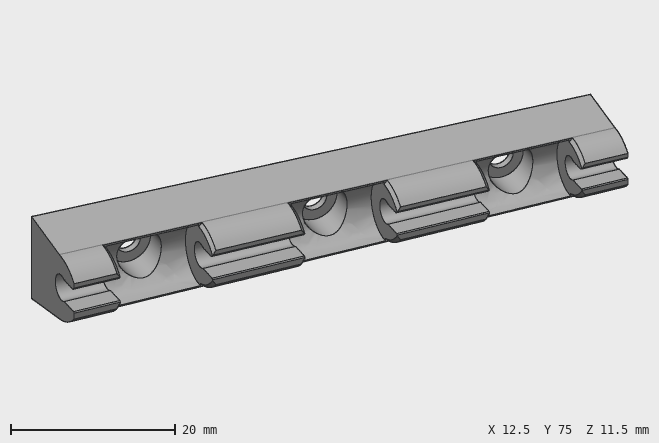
import cadquery as cq
import math

length = 75.0
depth = 12.45
base_half_height = 5.74
far_scale = 0.88
taper_center_z = 1.24

shoulder_x = 8.14
upper_shoulder_z = 4.6
lower_shoulder_z = -4.4
crown_x = 10.8
upper_crown_z = 3.9
lower_crown_z = -3.5
upper_tip_z = 2.7
lower_tip_z = -2.25
upper_lip_z = 2.1
lower_lip_z = -1.4
upper_lip_bevel = 0.4
lower_lip_bevel = 0.15

groove_x = 8.7
groove_z = 0.2
groove_radius = 1.7
groove_half_mouth = 1.5
groove_throat_x = groove_x + math.sqrt(groove_radius**2 - groove_half_mouth**2)

gap_count = 3
pitch = length / gap_count
gap_width = pitch / 2
gap_upper_x = 8.2
gap_lower_x = 8.9
hollow_bottom_x = 4.3
hollow_upper_z = 4.35
hollow_lower_z = -4.1
knuckle_chamfer = 0.45
hole_diameter = 3.3
counterbore_diameter = 6.0
seat_thickness = 1.05
hole_z = 0.1


def taper_scale(y):
    """Profile scale at y, falling linearly from the near end to the far end."""
    return 1 + (far_scale - 1) * (y / length + 0.5)


def section(y):
    """Workplane at y and a function that scales near-end points onto it."""
    scale = taper_scale(y)

    def at(x, z):
        return (x * scale, taper_center_z + (z - taper_center_z) * scale)

    return cq.Workplane("XZ", origin=(0, y, 0)), at


def bar_profile(y):
    """Closed outline of the bar with its pin groove at y."""
    plane, at = section(y)
    return (
        plane
        .moveTo(*at(0, -base_half_height))
        .lineTo(*at(shoulder_x, lower_shoulder_z))
        .threePointArc(at(crown_x, lower_crown_z), at(depth, lower_tip_z))
        .lineTo(*at(depth, lower_lip_z))
        .lineTo(*at(depth - lower_lip_bevel, groove_z - groove_half_mouth))
        .lineTo(*at(groove_throat_x, groove_z - groove_half_mouth))
        .threePointArc(
            at(groove_x - groove_radius, groove_z),
            at(groove_throat_x, groove_z + groove_half_mouth),
        )
        .lineTo(*at(depth - upper_lip_bevel, groove_z + groove_half_mouth))
        .lineTo(*at(depth, upper_lip_z))
        .lineTo(*at(depth, upper_tip_z))
        .threePointArc(at(crown_x, upper_crown_z), at(shoulder_x, upper_shoulder_z))
        .lineTo(*at(0, base_half_height))
        .close()
        .wire()
        .val()
    )


def gap_profile(y):
    """Clearance open toward +X, with a slightly leaning floor."""
    plane, at = section(y)
    outline = [
        (gap_upper_x, base_half_height),
        (gap_lower_x, -base_half_height),
        (2 * depth, -base_half_height),
        (2 * depth, base_half_height),
    ]
    return plane.polyline([at(x, z) for x, z in outline]).close().wire().val()


def hollow_profile(y):
    """Round hollow in the gap floor, its chord lying in that floor."""
    plane, at = section(y)

    def floor_point(z):
        lean = (gap_lower_x - gap_upper_x) / (2 * base_half_height)
        return at(gap_upper_x + (base_half_height - z) * lean, z)

    return (
        plane
        .moveTo(*floor_point(hollow_upper_z))
        .threePointArc(
            at(hollow_bottom_x, (hollow_upper_z + hollow_lower_z) / 2),
            floor_point(hollow_lower_z),
        )
        .close()
        .wire()
        .val()
    )


def tapered_solid(profile, near_y, far_y):
    """Ruled solid between the profile at two places along the bar."""
    return cq.Workplane(cq.Solid.makeLoft([profile(near_y), profile(far_y)], True))


bar = tapered_solid(bar_profile, -length / 2, length / 2)

gap_centers = [(i - (gap_count - 1) / 2) * pitch for i in range(gap_count)]
gap_spans = [(y - gap_width / 2, y + gap_width / 2) for y in gap_centers]
for near_y, far_y in gap_spans:
    bar = bar.cut(tapered_solid(gap_profile, near_y, far_y))


def on_knuckle_side(edge):
    """True for the outline of a knuckle side face, except at the gap floor."""
    box = edge.BoundingBox()
    tolerance = 0.01
    least_flank_run = 0.75
    beside_gap = any(
        abs(abs(box.center.y - center_y) - gap_width / 2) < tolerance for center_y in gap_centers
    )
    return beside_gap and box.ylen < tolerance and box.xlen > least_flank_run


outer_edges = [
    edge for edge in bar.edges().vals()
    if on_knuckle_side(edge) and abs(edge.Center().z - groove_z) > groove_radius
]
bar = bar.newObject(outer_edges).chamfer(knuckle_chamfer)

for near_y, far_y in gap_spans:
    bar = bar.cut(tapered_solid(hollow_profile, near_y, far_y))


def rods(diameter, start_x):
    """Cylinders along X, one in the middle of each gap."""
    return (
        cq.Workplane("YZ", origin=(start_x, 0, 0))
        .pushPoints([(center_y, hole_z) for center_y in gap_centers])
        .circle(diameter / 2)
        .extrude(depth)
    )


result = bar.cut(rods(hole_diameter, 0)).cut(rods(counterbore_diameter, seat_thickness))